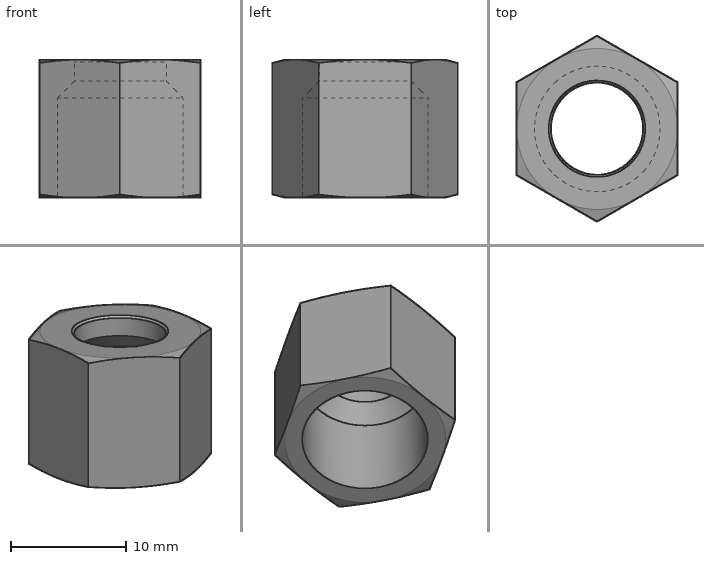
import math

import cadquery as cq

hexagon_sides = 6
across_flats = 14.0
height = 12.0
corner_chamfer_angle = 15.0

tube_hole_diameter = 8.0
mouth_chamfer = 0.2
thread_bore_diameter = 10.92
thread_bore_depth = 8.7

half_side_angle = 180 / hexagon_sides
flat_radius = across_flats / 2
corner_radius = flat_radius / math.cos(math.radians(half_side_angle))
corner_drop = (corner_radius - flat_radius) * math.tan(math.radians(corner_chamfer_angle))
tube_hole_radius = tube_hole_diameter / 2
thread_bore_radius = thread_bore_diameter / 2
cone_length = thread_bore_radius - tube_hole_radius


def revolve_about_z(profile):
    """Revolve a closed outline of (radius, z) points about the Z axis."""
    return cq.Workplane("XZ").polyline(profile).close().revolve(360, (0, 0, 0), (0, 1, 0))


def hexagon_prism():
    """Hexagonal prism with flats facing +X and -X, and corners on the Y axis."""
    hexagon = cq.Workplane("XY").polygon(hexagon_sides, 2 * corner_radius)
    return hexagon.extrude(height).rotate((0, 0, 0), (0, 0, 1), half_side_angle)


def corner_envelope():
    """Round blank with conical ends that bevels the hexagon corners at both ends."""
    return revolve_about_z([
        (0, 0),
        (flat_radius, 0),
        (corner_radius, corner_drop),
        (corner_radius, height - corner_drop),
        (flat_radius, height),
        (0, height),
    ])


def stepped_bore():
    """Through bore: chamfered tube hole, 45 degree cone, then the wider thread bore."""
    cone_top = thread_bore_depth + cone_length
    return revolve_about_z([
        (0, 0),
        (thread_bore_radius, 0),
        (thread_bore_radius, thread_bore_depth),
        (tube_hole_radius, cone_top),
        (tube_hole_radius, height - mouth_chamfer),
        (tube_hole_radius + mouth_chamfer, height),
        (0, height),
    ])


result = hexagon_prism().intersect(corner_envelope()).cut(stepped_bore())